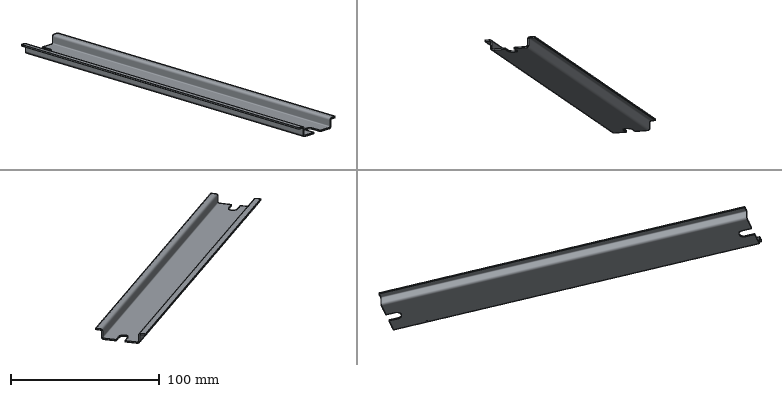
import cadquery as cq

length = 260.0
overall_width = 35.0
height = 7.5
thickness = 1.0
channel_width = 27.0
inner_bend_radius = 0.8
outer_bend_radius = inner_bend_radius + thickness

slot_width = 6.2
slot_depth = 10.0


def block(width, bottom, top):
    """Full-length block centred on the X axis, between two heights."""
    return cq.Workplane("XY", origin=(0, 0, bottom)).box(
        length, width, top - bottom, centered=(True, True, False)
    )


def rail_body():
    """Bent-sheet profile: floor, two webs and two outward flanges."""
    floor_top = thickness
    flange_bottom = height - thickness
    cavity_width = channel_width - 2 * thickness

    channel = block(channel_width, 0, height).edges("|X and <Z").fillet(outer_bend_radius)
    flanges = block(overall_width, flange_bottom, height)
    outside = channel.union(flanges)

    for side in (-1, 1):
        web_face = side * channel_width / 2
        bend_corner = cq.selectors.BoxSelector(
            (-length, web_face - thickness / 2, flange_bottom - thickness / 2),
            (length, web_face + thickness / 2, flange_bottom + thickness / 2),
        )
        outside = outside.edges(bend_corner).fillet(inner_bend_radius)

    cavity = block(cavity_width, floor_top, height).edges("|X and <Z").fillet(inner_bend_radius)
    body = outside.cut(cavity)

    for side in (-1, 1):
        mouth_edge = side * cavity_width / 2
        bend_corner = cq.selectors.BoxSelector(
            (-length, mouth_edge - thickness / 2, height - thickness / 2),
            (length, mouth_edge + thickness / 2, height + thickness / 2),
        )
        body = body.edges(bend_corner).fillet(outer_bend_radius)
    return body


def end_slots():
    """Cutters for the round-ended slots, centred on the two rail ends."""
    return (
        cq.Workplane("XY")
        .pushPoints([(-length / 2, 0), (length / 2, 0)])
        .slot2D(2 * slot_depth, slot_width)
        .extrude(height)
    )


result = rail_body().cut(end_slots())